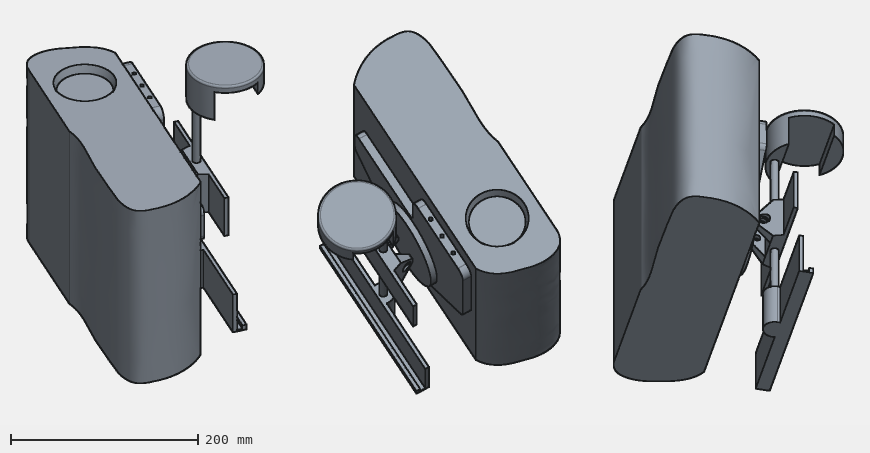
import cadquery as cq
import math


rod_diameter = 9.0
overall_height = 279.0
wall_back_y = 7.8
wall_thickness = 4.7
wall_front_y = wall_back_y - wall_thickness

base_width = 200.5
base_height = 50.0
boss_radius = 12.5
ledge_depth = 11.0
ledge_thickness = 2.2
lip_thickness = 4.7
lip_height = 6.5

cap_diameter = 83.5
cap_edge_radius = 2.5
cap_plate_thickness = 9.0
cap_center_y = 32.7
cap_front_lug_height = 45.5
cap_back_lug_height = 24.3
cap_back_lug_y = 57.5

bracket_width = 150.0
bracket_height = 50.0
bracket_center_z = 134.5
lug_root_half_width = 28.0
lug_tip_half_width = 17.5
lug_gap = 23.5
lug_shoulder_y = -7.5
lug_pivot_y = -16.5
lug_tip_radius = 10.0
lug_tip_y = lug_pivot_y - lug_tip_radius
pivot_diameter = 7.5
pivot_recess_diameter = 12.0
pivot_recess_floor_x = 17.0

pad_center_x = 0.5
pad_center_z = 133.0
pad_diameter = 98.5
pad_back_y = -30.2
plate_back_y = -37.7
plate_front_y = -48.0
plate_left_x = -102.5
plate_step_x = 2.0
plate_right_x = 121.5
plate_top_z = 235.5
plate_rim_radius = 54.2
plate_shelf_z = pad_center_z + plate_rim_radius
rim_tangent_angle = math.radians(56.5)
plate_corner_radius = 11.0
plate_right_corner_radius = 7.8
plate_step_fillet = 6.2
port_diameter = 4.0
port_depth = 9.5
port_first_x = -74.0
port_spacing = 23.5
port_count = 3

housing_bottom_z = 17.0
housing_height = 227.0
housing_back_y = -52.0
housing_front_y = -149.5
housing_back_left_x = -105.5
housing_back_right_x = 147.7
flat_front_left_x = -110.3
flat_front_right_x = 10.5
well_center = (-66.0, -102.2)
well_top_diameter = 67.3
well_floor_diameter = 60.5
well_depth = 9.7


def box(x_range, y_range, z_range):
    """Axis-aligned box between the given limits."""
    size = [high - low for low, high in (x_range, y_range, z_range)]
    corner = (x_range[0], y_range[0], z_range[0])
    return cq.Workplane("XY").box(*size, centered=False).translate(corner)


def make_rod():
    """Round rod from the top of the base to the underside of the cap."""
    length = overall_height - cap_front_lug_height - base_height
    return cq.Workplane("XY", origin=(0, 0, base_height)).circle(rod_diameter / 2).extrude(length)


def make_base():
    """Upright wall with a round-nosed boss in front and a hooked ledge behind."""
    half_width = base_width / 2
    hook_back_y = wall_back_y + ledge_depth
    section = [
        (wall_front_y, 0),
        (hook_back_y, 0),
        (hook_back_y, lip_height),
        (hook_back_y - lip_thickness, lip_height),
        (hook_back_y - lip_thickness, ledge_thickness),
        (wall_back_y, ledge_thickness),
        (wall_back_y, base_height),
        (wall_front_y, base_height),
    ]
    wall = cq.Workplane("YZ", origin=(-half_width, 0, 0)).polyline(section).close().extrude(base_width)
    boss = (
        cq.Workplane("XY")
        .moveTo(-boss_radius, wall_front_y)
        .lineTo(-boss_radius, 0)
        .threePointArc((0, -boss_radius), (boss_radius, 0))
        .lineTo(boss_radius, wall_front_y)
        .close()
        .extrude(base_height)
    )
    return wall.union(boss)


def make_cap():
    """Round-edged disc with a deep lug over the rod and a shallow lug at the back."""
    radius = cap_diameter / 2
    blank = (
        cq.Workplane("XY", origin=(0, cap_center_y, overall_height))
        .circle(radius)
        .extrude(-cap_front_lug_height)
        .faces(">Z")
        .edges("%CIRCLE")
        .fillet(cap_edge_radius)
    )
    lug_bottom_z = overall_height - cap_front_lug_height
    back_lug_bottom_z = overall_height - cap_back_lug_height
    plate_bottom_z = overall_height - cap_plate_thickness
    back_y = cap_center_y + radius
    span = (-radius, radius)
    opening = box(span, (wall_back_y, cap_back_lug_y), (lug_bottom_z, plate_bottom_z))
    below_back_lug = box(span, (cap_back_lug_y, back_y), (lug_bottom_z, back_lug_bottom_z))
    return blank.cut(opening).cut(below_back_lug)


def clevis_side_profile():
    """Side outline of the clevis: straight root, tapering to a round tip about the pivot."""
    half_height = bracket_height / 2
    run = lug_shoulder_y - lug_pivot_y
    shoulder_distance = math.hypot(run, half_height)
    tangent_angle = math.atan2(half_height, run) + math.acos(lug_tip_radius / shoulder_distance)
    tangent_y = lug_pivot_y + lug_tip_radius * math.cos(tangent_angle)
    tangent_rise = lug_tip_radius * math.sin(tangent_angle)
    bottom_z = bracket_center_z - half_height
    top_z = bracket_center_z + half_height
    half_width = lug_root_half_width
    return (
        cq.Workplane("YZ", origin=(-half_width, 0, 0))
        .moveTo(wall_front_y, bottom_z)
        .lineTo(wall_front_y, top_z)
        .lineTo(lug_shoulder_y, top_z)
        .lineTo(tangent_y, bracket_center_z + tangent_rise)
        .threePointArc((lug_tip_y, bracket_center_z), (tangent_y, bracket_center_z - tangent_rise))
        .lineTo(lug_shoulder_y, bottom_z)
        .close()
        .extrude(2 * half_width)
    )


def make_bracket():
    """Flat wall carrying a two-lug clevis, bored for the rod and for a cross pivot."""
    bottom_z = bracket_center_z - bracket_height / 2
    top_z = bottom_z + bracket_height
    half_width = bracket_width / 2
    wall = box((-half_width, half_width), (wall_front_y, wall_back_y), (bottom_z, top_z))

    plan = [
        (-lug_root_half_width, wall_front_y),
        (-lug_tip_half_width, lug_tip_y),
        (lug_tip_half_width, lug_tip_y),
        (lug_root_half_width, wall_front_y),
    ]
    tapered = cq.Workplane("XY", origin=(0, 0, bottom_z)).polyline(plan).close().extrude(bracket_height)
    clevis = tapered.intersect(clevis_side_profile())
    gap = box((-lug_gap / 2, lug_gap / 2), (lug_tip_y, lug_shoulder_y), (bottom_z, top_z))
    bracket = wall.union(clevis.cut(gap))

    pivot_plane = cq.Workplane("YZ", origin=(0, lug_pivot_y, bracket_center_z))
    bracket = bracket.cut(pivot_plane.circle(pivot_diameter / 2).extrude(lug_root_half_width, both=True))
    recess_depth = lug_root_half_width - pivot_recess_floor_x
    for side in (-1, 1):
        recess_plane = pivot_plane.workplane(offset=side * pivot_recess_floor_x)
        bracket = bracket.cut(recess_plane.circle(pivot_recess_diameter / 2).extrude(side * recess_depth))

    rod_bore = cq.Workplane("XY", origin=(0, 0, bottom_z)).circle(rod_diameter / 2).extrude(bracket_height)
    return bracket.cut(rod_bore)


def rim_tangent_height(x):
    """Height at x of the straight edge that runs tangent off the round lower rim."""
    distance = abs(x - pad_center_x)
    drop = plate_rim_radius - distance * math.cos(rim_tangent_angle)
    return pad_center_z - drop / math.sin(rim_tangent_angle)


def make_mounting_plate():
    """Stepped plate with a round lower rim, a concentric pad and ports in its top edge."""
    rim_x = plate_rim_radius * math.cos(rim_tangent_angle)
    rim_z = pad_center_z - plate_rim_radius * math.sin(rim_tangent_angle)
    rim_bottom = (pad_center_x, pad_center_z - plate_rim_radius)
    left_foot_z = rim_tangent_height(plate_left_x)
    right_foot_z = rim_tangent_height(plate_right_x)
    thickness = plate_back_y - plate_front_y
    plate = (
        cq.Workplane("XZ", origin=(0, plate_back_y, 0))
        .moveTo(plate_left_x, left_foot_z)
        .lineTo(plate_left_x, plate_top_z)
        .lineTo(plate_step_x, plate_top_z)
        .lineTo(plate_step_x, plate_shelf_z)
        .lineTo(plate_right_x, plate_shelf_z)
        .lineTo(plate_right_x, right_foot_z)
        .lineTo(pad_center_x + rim_x, rim_z)
        .threePointArc(rim_bottom, (pad_center_x - rim_x, rim_z))
        .close()
        .extrude(thickness)
    )

    corner_fillets = [
        (plate_left_x, left_foot_z, plate_corner_radius),
        (plate_left_x, plate_top_z, plate_corner_radius),
        (plate_step_x, plate_top_z, plate_corner_radius),
        (plate_step_x, plate_shelf_z, plate_step_fillet),
        (plate_right_x, plate_shelf_z, plate_right_corner_radius),
        (plate_right_x, right_foot_z, plate_right_corner_radius),
    ]
    middle_y = (plate_back_y + plate_front_y) / 2
    for x, z, radius in corner_fillets:
        plate = plate.edges(cq.NearestToPointSelector((x, middle_y, z))).fillet(radius)

    pad_plane = cq.Workplane("XZ", origin=(pad_center_x, pad_back_y, pad_center_z))
    plate = plate.union(pad_plane.circle(pad_diameter / 2).extrude(pad_back_y - plate_back_y))

    for index in range(port_count):
        port_x = port_first_x + index * port_spacing
        port_plane = cq.Workplane("XY", origin=(port_x, middle_y, plate_top_z))
        plate = plate.cut(port_plane.circle(port_diameter / 2).extrude(-port_depth))
    return plate


def make_housing():
    """Upright housing with curved ends and a shallow tapered well in its top."""
    left_end = [
        (-122.2, -68.0),
        (-131.8, -93.5),
        (-135.5, -121.5),
        (-129.5, -140.2),
        (flat_front_left_x, housing_front_y),
    ]
    right_end = [
        (18.7, -147.5),
        (74.8, -147.5),
        (127.8, -147.0),
        (155.8, -144.5),
        (172.0, -135.0),
        (175.8, -120.0),
        (170.8, -84.8),
        (housing_back_right_x, housing_back_y),
    ]
    body = (
        cq.Workplane("XY", origin=(0, 0, housing_bottom_z))
        .moveTo(housing_back_left_x, housing_back_y)
        .spline(left_end, includeCurrent=True)
        .lineTo(flat_front_right_x, housing_front_y)
        .spline(right_end, includeCurrent=True)
        .close()
        .extrude(housing_height)
    )
    taper = math.degrees(math.atan((well_top_diameter - well_floor_diameter) / 2 / well_depth))
    well = (
        cq.Workplane("XY", origin=(*well_center, housing_bottom_z + housing_height))
        .circle(well_top_diameter / 2)
        .extrude(-well_depth, taper=taper)
    )
    return body.cut(well)


rod = make_rod()
base = make_base()
cap = make_cap()
bracket = make_bracket()
mounting_plate = make_mounting_plate()
housing = make_housing()

result = cq.Compound.makeCompound(
    [
        rod.solids().val(),
        base.solids().val(),
        cap.solids().val(),
        bracket.solids().val(),
        mounting_plate.solids().val(),
        housing.solids().val(),
    ]
)